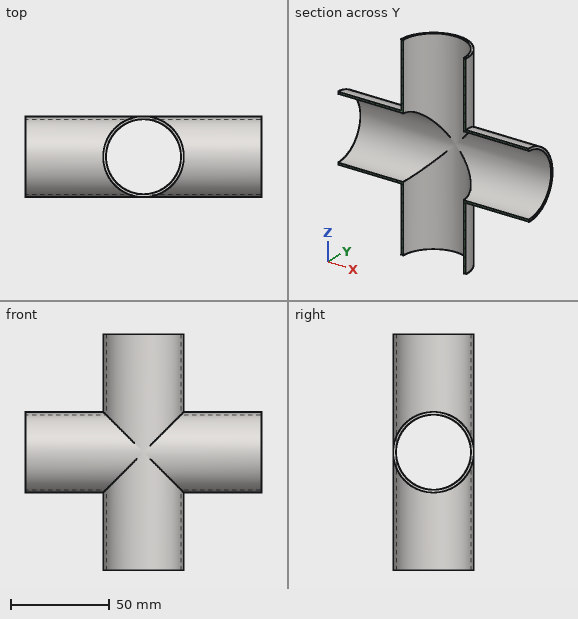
import cadquery as cq

OUTER_DIAMETER = 41.0
BORE_DIAMETER = 38.0
RUN_LENGTH = 120.0


def crossed_cylinders(diameter):
    """Solid union of one cylinder along X and one along Z, both RUN_LENGTH long."""
    horizontal = cq.Workplane("YZ").circle(diameter / 2).extrude(RUN_LENGTH / 2, both=True)
    vertical = cq.Workplane("XY").circle(diameter / 2).extrude(RUN_LENGTH / 2, both=True)
    return horizontal.union(vertical)


result = crossed_cylinders(OUTER_DIAMETER).cut(crossed_cylinders(BORE_DIAMETER))